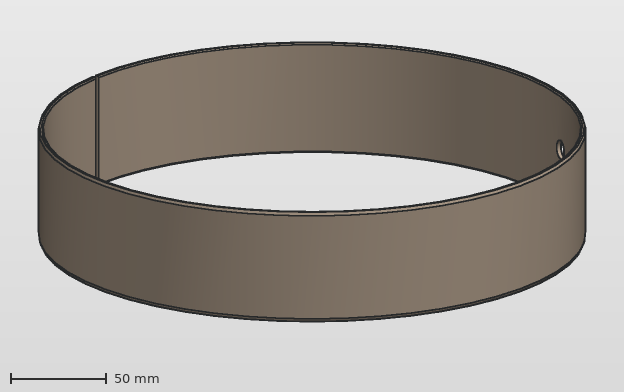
import cadquery as cq
import math

outer_diameter = 285.0
wall_thickness = 2.5
height = 60.0

outer_bevel_height = 1.8
outer_bevel_angle = 20.0

inner_chamfer = 0.8

split_angle = 1.0

hole_diameter = 10.0
hole_angle = 59.0

outer_radius = outer_diameter / 2
inner_radius = outer_radius - wall_thickness
outer_bevel_depth = outer_bevel_height * math.tan(math.radians(outer_bevel_angle))


def make_wall_section():
    """Wall cross-section in the XZ plane, on the -X side of the ring axis."""
    outer_x = -outer_radius
    inner_x = -inner_radius
    outline = [
        (outer_x, outer_bevel_height),
        (outer_x, height - outer_bevel_height),
        (outer_x + outer_bevel_depth, height),
        (inner_x - inner_chamfer, height),
        (inner_x, height - inner_chamfer),
        (inner_x, inner_chamfer),
        (inner_x - inner_chamfer, 0),
        (outer_x + outer_bevel_depth, 0),
    ]
    return cq.Workplane("XZ").polyline(outline).close()


def make_split_ring():
    """Sweep the wall section counterclockwise from -X, stopping short of a full turn."""
    axis_start = (0, 0, 0)
    axis_end = (0, 1, 0)
    return make_wall_section().revolve(360 - split_angle, axis_start, axis_end)


def make_hole_cutter():
    """Cylinder lying along the ring radius, from the ring axis out past the wall."""
    angle = math.radians(hole_angle)
    outward = cq.Vector(math.cos(angle), math.sin(angle), 0)
    start = cq.Vector(0, 0, height / 2)
    return cq.Solid.makeCylinder(hole_diameter / 2, outer_diameter, start, outward)


result = make_split_ring().cut(make_hole_cutter())